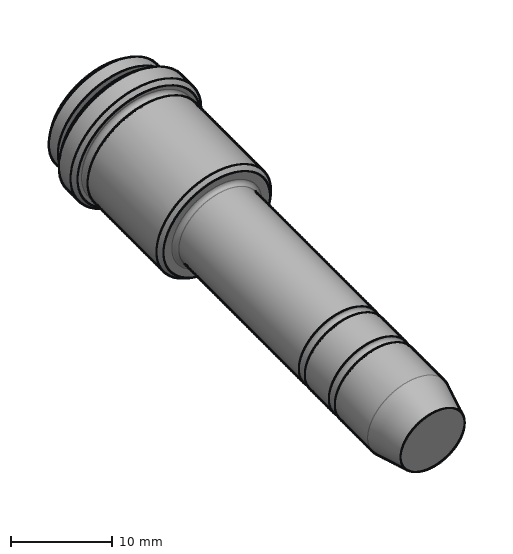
import cadquery as cq
import math

total_length = 55.0
shaft_radius = 10.0 / 2
head_radius = 14.0 / 2
collar_radius = 16.0 / 2
head_length = 19.0
edge_chamfer = 0.5

collar_start = 3.0
collar_end = 6.0

groove_radius = 0.5
head_groove_centers = (collar_start - groove_radius, collar_end + groove_radius)
shaft_groove_centers = (40.0, 45.0)

neck_fillet = 0.5

tip_length = 4.0
tip_half_angle = 15.0
tip_radius = shaft_radius - tip_length * math.tan(math.radians(tip_half_angle))


def cylinder(radius, start, end):
    """Solid cylinder along X between two stations."""
    return cq.Workplane("YZ", origin=(start, 0, 0)).circle(radius).extrude(end - start)


def ring_groove(surface_radius, center):
    """Torus that cuts a half-round groove centred on a cylindrical surface."""
    return (
        cq.Workplane("XY")
        .center(center, surface_radius)
        .circle(groove_radius)
        .revolve(360, (0, -surface_radius, 0), (1, -surface_radius, 0))
    )


neck_end = head_length + neck_fillet
tip_start = total_length - tip_length
shaft = (
    cq.Workplane("XY")
    .moveTo(0, 0)
    .lineTo(0, shaft_radius + neck_fillet)
    .lineTo(head_length, shaft_radius + neck_fillet)
    .radiusArc((neck_end, shaft_radius), -neck_fillet)
    .lineTo(tip_start, shaft_radius)
    .lineTo(total_length, tip_radius)
    .lineTo(total_length, 0)
    .close()
    .revolve(360, (0, 0, 0), (1, 0, 0))
)
for groove_center in shaft_groove_centers:
    shaft = shaft.cut(ring_groove(shaft_radius, groove_center))

head = cylinder(head_radius, 0, head_length).edges().chamfer(edge_chamfer)
for groove_center in head_groove_centers:
    head = head.cut(ring_groove(head_radius, groove_center))

collar = cylinder(collar_radius, collar_start, collar_end).edges().chamfer(edge_chamfer)

result = shaft.union(head).union(collar)